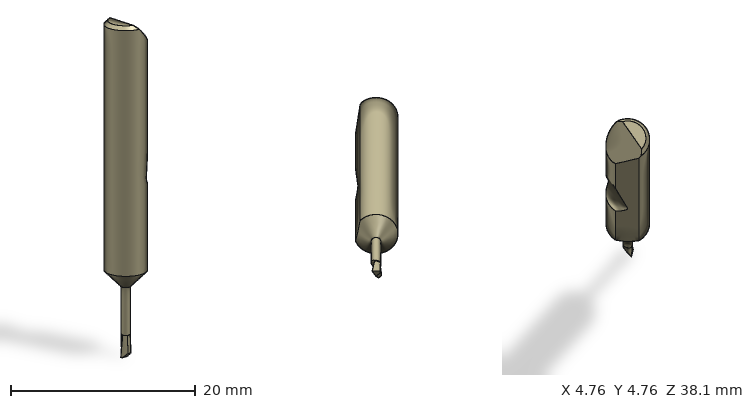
import cadquery as cq
import math

length = 38.1
shank_radius = 2.38
neck_radius = 0.55
shank_bottom = 9.83
cone_height = shank_radius - neck_radius
top_chamfer = 0.42

bevel_edge_y = -0.57
flat_distance = 2.02
flat_angle = 145.0
notch_top = 28.27
notch_bottom = 19.6
notch_radius = 0.95
notch_slope = 9.5
notch_depth = 1.25

tip_height = 2.55
tip_radius = 0.665
rake_angle = 30.0
corner_chamfer = 0.57

margin = 0.4
cut_width = 2 * (shank_radius + margin)


def make_blank():
    """Turned shank, cone and neck."""
    profile = [
        (0, tip_height),
        (neck_radius, tip_height),
        (neck_radius, shank_bottom - cone_height),
        (shank_radius, shank_bottom),
        (shank_radius, length - top_chamfer),
        (shank_radius - top_chamfer, length),
        (0, length),
    ]
    return cq.Workplane("XZ").polyline(profile).close().revolve(360, (0, 0), (0, 1))


def cutter_along_x(outline):
    """Extrude a closed YZ outline across the full shank width."""
    return outline.extrude(cut_width / 2, both=True)


def make_bevel():
    """Sloping cut across the back of the top end."""
    outer_y = shank_radius + margin
    drop = outer_y - bevel_edge_y
    corners = [(bevel_edge_y, length), (outer_y, length - drop), (outer_y, length + margin),
               (bevel_edge_y - margin, length + margin)]
    return cutter_along_x(cq.Workplane("YZ").polyline(corners).close())


def make_notch():
    """Clamp notch: a shallow ramp running tangentially into a round floor."""
    slope = math.radians(notch_slope)
    arc_y = shank_radius - notch_depth + notch_radius
    arc_z = notch_bottom + notch_radius
    ramp_end = (arc_y - notch_radius * math.cos(slope), arc_z + notch_radius * math.sin(slope))
    ramp_top_y = ramp_end[0] + (notch_top - ramp_end[1]) * math.tan(slope)
    middle = math.radians(225)
    arc_middle = (arc_y + notch_radius * math.cos(middle), arc_z + notch_radius * math.sin(middle))
    outline = (
        cq.Workplane("YZ")
        .moveTo(ramp_top_y, notch_top)
        .lineTo(*ramp_end)
        .threePointArc(arc_middle, (arc_y, notch_bottom))
        .lineTo(shank_radius + margin, notch_bottom)
        .lineTo(shank_radius + margin, notch_top)
        .close()
    )
    return cutter_along_x(outline)


def make_flat():
    """Slab that leaves a flat along the shank."""
    slab = cq.Workplane("XY").box(cut_width, cut_width, length, centered=(False, True, False))
    return slab.translate((flat_distance, 0, 0)).rotate((0, 0, 0), (0, 0, 1), flat_angle)


def make_neck_runout():
    """45 degree run-out from the cutting face to the neck surface."""
    reach = neck_radius + margin
    corners = [(0, tip_height), (reach, tip_height), (reach, tip_height + reach)]
    wedge = cq.Workplane("YZ").polyline(corners).close().extrude(reach, both=True)
    return wedge.rotate((0, 0, 0), (0, 0, 1), rake_angle)


def make_tip():
    """Twisted, flaring tip with one chamfered corner."""
    head = [(-tip_radius, -0.05), (-0.08, -tip_radius), (tip_radius, -0.25), (tip_radius, 0.2)]
    root = [(-0.45, -0.25), (0.1, -neck_radius), (0.5, -0.2), (0.45, 0.25)]
    tip = (
        cq.Workplane("XY")
        .polyline(head).close()
        .workplane(offset=tip_height)
        .polyline(root).close()
        .loft(ruled=True)
    )
    corner = [(tip_radius - corner_chamfer, 0), (tip_radius + margin, corner_chamfer + margin),
              (tip_radius + margin, -margin), (tip_radius - corner_chamfer, -margin)]
    chamfer = cq.Workplane("XZ").polyline(corner).close().extrude(cut_width / 2, both=True)
    return tip.cut(chamfer)


result = make_blank()
for cutter in (make_bevel(), make_notch(), make_flat(), make_neck_runout()):
    result = result.cut(cutter)
result = result.union(make_tip())